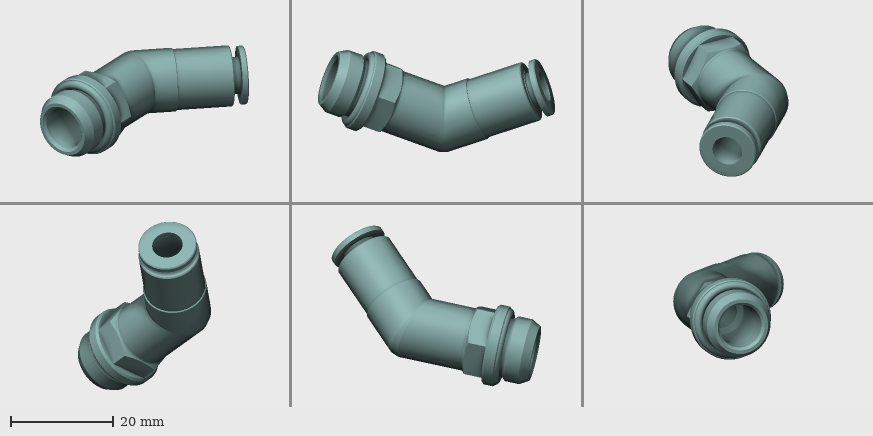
import cadquery as cq
import math


BEND_ANGLE = 45.0
BEND_Y = 24.5

THREAD_DIAMETER = 13.0
TIP_DIAMETER = 10.95
TIP_TAPER_LENGTH = 1.75
THREAD_TOP = 4.6
NECK_DIAMETER = 11.6
NECK_BOTTOM = THREAD_TOP + (THREAD_DIAMETER - NECK_DIAMETER) / 2

FLANGE_DIAMETER = 16.0
FLANGE_BOTTOM = 6.45
FLANGE_TOP = 8.95
FLANGE_TOP_CHAMFER = 0.45
FLANGE_BOTTOM_CHAMFER = 0.2

HEX_ACROSS_FLATS = 13.03
HEX_ACROSS_CORNERS = HEX_ACROSS_FLATS / math.cos(math.radians(30))
HEX_TOP = 13.05
HEX_TOP_DIAMETER = 12.75
HEX_CHAMFER_ANGLE = 30.0
SHOULDER_HEIGHT = 0.25

BARREL_DIAMETER = 12.5
BARREL_RADIUS = BARREL_DIAMETER / 2
CORNER_PLANE_TILT = 7.5

COLLAR_END = 7.2
COLLAR_CHAMFER = 0.15
SLEEVE_DIAMETER = 12.0
SLEEVE_END = 18.4
SLEEVE_CHAMFER = 0.2
COLLET_BOSS_DIAMETER = 8.5
COLLET_BOSS_HEIGHT = 0.17
BUTTON_NECK_DIAMETER = 7.3
BUTTON_DIAMETER = 11.5
BUTTON_THICKNESS = 1.2
BUTTON_CHAMFER = 0.2
LEG_END = 21.25

STUD_BORE_DIAMETER = 8.5
STUD_BORE_DEPTH = 13.03
STUD_BORE_CHAMFER = 0.5
STUD_BORE_CONE_ANGLE = 30.0
STUD_PASSAGE_DIAMETER = 6.15
STUD_PASSAGE_END = BEND_Y + 0.45
LEG_PASSAGE_DIAMETER = 5.0
LEG_PASSAGE_END = 4.95
TUBE_BORE_DIAMETER = 6.0

SEAL_OUTER_DIAMETER = 15.3
SEAL_BOTTOM = 5.65
SEAL_SECTION_DIAMETER = (SEAL_OUTER_DIAMETER - NECK_DIAMETER) / 2
SEAL_RECESS_TOP = SEAL_BOTTOM + SEAL_SECTION_DIAMETER


def revolve_about_y(profile):
    """Turn an (X, Y) outline lying on one side of the Y axis."""
    return cq.Workplane("XY").polyline(profile).close().revolve(360, (0, 0), (0, 1))


def rod(diameter, start, end):
    """Round rod on the Y axis."""
    radius = diameter / 2
    return revolve_about_y([(0, start), (radius, start), (radius, end), (0, end)])


def onto_leg(shape):
    """Swing a shape from the Y axis, measured from the bend, onto the leg axis."""
    return shape.rotate((0, 0, 0), (0, 0, 1), -BEND_ANGLE).translate((0, BEND_Y, 0))


def make_stud():
    thread_radius = THREAD_DIAMETER / 2
    neck_radius = NECK_DIAMETER / 2
    flange_radius = FLANGE_DIAMETER / 2
    recess_radius = SEAL_OUTER_DIAMETER / 2
    return revolve_about_y([
        (0, 0),
        (TIP_DIAMETER / 2, 0),
        (thread_radius, TIP_TAPER_LENGTH),
        (thread_radius, THREAD_TOP),
        (neck_radius, NECK_BOTTOM),
        (neck_radius, SEAL_RECESS_TOP),
        (recess_radius, SEAL_RECESS_TOP),
        (recess_radius, FLANGE_BOTTOM),
        (flange_radius - FLANGE_BOTTOM_CHAMFER, FLANGE_BOTTOM),
        (flange_radius, FLANGE_BOTTOM + FLANGE_BOTTOM_CHAMFER),
        (flange_radius, FLANGE_TOP - FLANGE_TOP_CHAMFER),
        (flange_radius - FLANGE_TOP_CHAMFER, FLANGE_TOP),
        (0, FLANGE_TOP),
    ])


def make_hexagon():
    """Hexagon with corners on +X and -X, its upper corners turned off to a cone."""
    height = HEX_TOP - FLANGE_TOP
    prism = (
        cq.Workplane("XZ", origin=(0, HEX_TOP, 0))
        .polygon(6, HEX_ACROSS_CORNERS)
        .extrude(height)
    )
    top_radius = HEX_TOP_DIAMETER / 2
    outer_radius = FLANGE_DIAMETER / 2
    cone_height = (outer_radius - top_radius) * math.tan(math.radians(HEX_CHAMFER_ANGLE))
    turned_blank = revolve_about_y([
        (0, FLANGE_TOP),
        (outer_radius, FLANGE_TOP),
        (outer_radius, HEX_TOP - cone_height),
        (top_radius, HEX_TOP),
        (0, HEX_TOP),
    ])
    return prism.intersect(turned_blank)


def make_shoulder():
    return revolve_about_y([
        (0, HEX_TOP),
        (HEX_TOP_DIAMETER / 2, HEX_TOP),
        (BARREL_RADIUS, HEX_TOP + SHOULDER_HEIGHT),
        (0, HEX_TOP + SHOULDER_HEIGHT),
    ])


def make_elbow():
    """Two mitred cylinders of one diameter, joined by a rounded outer corner."""
    tilt = math.radians(BEND_ANGLE / 2 - CORNER_PLANE_TILT)
    outer_y = BARREL_RADIUS * math.tan(tilt)
    inner_y = -BARREL_RADIUS * math.tan(math.radians(BEND_ANGLE / 2))

    def cut_cylinder(base_y):
        """Cylinder on the Y axis, cut on the mitre inside and on the rounding's end plane outside."""
        keep = (
            cq.Workplane("XY")
            .polyline([
                (BARREL_RADIUS, base_y),
                (BARREL_RADIUS, inner_y),
                (0, 0),
                (-BARREL_RADIUS, outer_y),
                (-BARREL_RADIUS, base_y),
            ])
            .close()
            .extrude(BARREL_RADIUS, both=True)
        )
        return rod(BARREL_DIAMETER, base_y, BARREL_RADIUS).intersect(keep)

    barrel = cut_cylinder(HEX_TOP - BEND_Y)
    leg = cut_cylinder(-(COLLAR_END - COLLAR_CHAMFER)).mirror("XZ").rotate((0, 0, 0), (0, 0, 1), -BEND_ANGLE)

    end_plane = cq.Plane(
        origin=(0, 0, 0),
        xDir=(-math.cos(tilt), math.sin(tilt), 0),
        normal=(math.sin(tilt), math.cos(tilt), 0),
    )
    corner = (
        cq.Workplane(end_plane)
        .moveTo(0, -BARREL_RADIUS)
        .ellipseArc(BARREL_RADIUS / math.cos(tilt), BARREL_RADIUS, -90, 90, startAtCurrent=True)
        .close()
        .revolve(2 * CORNER_PLANE_TILT, (0, 0), (0, -1))
    )
    return barrel.union(corner).union(leg).translate((0, BEND_Y, 0))


def make_leg():
    """Chamfered collar rim, sleeve and release button at the tube end."""
    sleeve_radius = SLEEVE_DIAMETER / 2
    boss_radius = COLLET_BOSS_DIAMETER / 2
    neck_radius = BUTTON_NECK_DIAMETER / 2
    button_radius = BUTTON_DIAMETER / 2
    boss_end = SLEEVE_END + COLLET_BOSS_HEIGHT
    button_start = LEG_END - BUTTON_THICKNESS
    return onto_leg(revolve_about_y([
        (0, COLLAR_END - COLLAR_CHAMFER),
        (BARREL_RADIUS, COLLAR_END - COLLAR_CHAMFER),
        (BARREL_RADIUS - COLLAR_CHAMFER, COLLAR_END),
        (sleeve_radius, COLLAR_END),
        (sleeve_radius, SLEEVE_END - SLEEVE_CHAMFER),
        (sleeve_radius - SLEEVE_CHAMFER, SLEEVE_END),
        (boss_radius, SLEEVE_END),
        (boss_radius, boss_end),
        (neck_radius, boss_end),
        (neck_radius, button_start),
        (button_radius, button_start),
        (button_radius, LEG_END - BUTTON_CHAMFER),
        (button_radius - BUTTON_CHAMFER, LEG_END),
        (0, LEG_END),
    ]))


def make_stud_passage():
    bore_radius = STUD_BORE_DIAMETER / 2
    passage_radius = STUD_PASSAGE_DIAMETER / 2
    cone_height = (bore_radius - passage_radius) * math.tan(math.radians(STUD_BORE_CONE_ANGLE))
    return revolve_about_y([
        (0, 0),
        (bore_radius + STUD_BORE_CHAMFER, 0),
        (bore_radius, STUD_BORE_CHAMFER),
        (bore_radius, STUD_BORE_DEPTH),
        (passage_radius, STUD_BORE_DEPTH + cone_height),
        (passage_radius, STUD_PASSAGE_END),
        (0, STUD_PASSAGE_END + passage_radius),
    ])


def make_leg_passage():
    narrow = rod(LEG_PASSAGE_DIAMETER, 0, LEG_PASSAGE_END)
    tube_bore = rod(TUBE_BORE_DIAMETER, LEG_PASSAGE_END, LEG_END)
    return onto_leg(narrow.union(tube_bore))


def make_fitting():
    outside = make_stud()
    for section in (make_hexagon(), make_shoulder(), make_elbow(), make_leg()):
        outside = outside.union(section)
    return outside.cut(make_stud_passage()).cut(make_leg_passage())


def make_seal():
    section_radius = SEAL_SECTION_DIAMETER / 2
    ring_radius = NECK_DIAMETER / 2 + section_radius
    return (
        cq.Workplane("XY")
        .center(ring_radius, SEAL_BOTTOM + section_radius)
        .circle(section_radius)
        .revolve(360, (-ring_radius, 0), (-ring_radius, 1))
    )


fitting = make_fitting()
seal = make_seal()
result = cq.Compound.makeCompound([fitting.solids().val(), seal.val()])